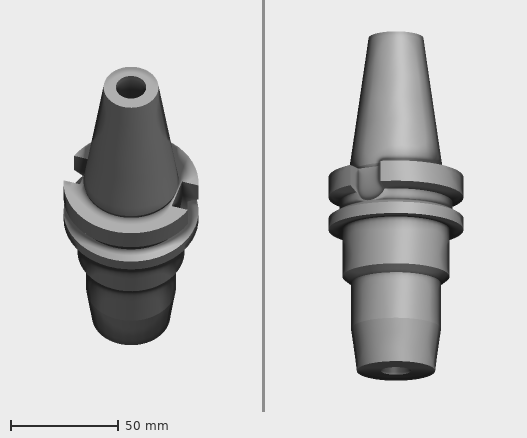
import cadquery as cq

total_height = 160.4
nose_taper_top_z = 20.2
shoulder_bottom_z = 42.2
shoulder_top_z = 45.4
flange_bottom_z = 68.0
lower_rim_top_z = 73.5
groove_bottom_z = 76.4
groove_top_z = 81.2
upper_rim_bottom_z = 83.5
flange_top_z = 93.4
gauge_z = 95.0

nose_tip_diameter = 36.5
nose_diameter = 42.0
body_diameter = 50.0
flange_diameter = 63.0
groove_diameter = 53.0
neck_diameter = 43.6
gauge_diameter = 44.5
shank_end_diameter = 25.7
bore_diameter = 14.1

slot_width = 16.0
slot_floor_x = 22.5
slot_bottom_z = groove_bottom_z


def make_turned_body():
    """Revolve the outer half-profile about the Z axis."""
    profile = [
        (0, 0),
        (nose_tip_diameter / 2, 0),
        (nose_diameter / 2, nose_taper_top_z),
        (nose_diameter / 2, shoulder_bottom_z),
        (body_diameter / 2, shoulder_top_z),
        (body_diameter / 2, flange_bottom_z),
        (flange_diameter / 2, flange_bottom_z),
        (flange_diameter / 2, lower_rim_top_z),
        (groove_diameter / 2, groove_bottom_z),
        (groove_diameter / 2, groove_top_z),
        (flange_diameter / 2, upper_rim_bottom_z),
        (flange_diameter / 2, flange_top_z),
        (neck_diameter / 2, flange_top_z),
        (gauge_diameter / 2, gauge_z),
        (shank_end_diameter / 2, total_height),
        (0, total_height),
    ]
    return cq.Workplane("XZ").polyline(profile).close().revolve(360, (0, 0), (0, 1))


def make_drive_slot(side):
    """Round-bottomed slot cutter, open outward and upward; side is +1 or -1 along X."""
    radius = slot_width / 2
    arc_center_z = slot_bottom_z + radius
    depth = flange_diameter / 2 - slot_floor_x
    return (
        cq.Workplane("YZ", origin=(side * slot_floor_x, 0, 0))
        .moveTo(-radius, flange_top_z)
        .lineTo(-radius, arc_center_z)
        .threePointArc((0, slot_bottom_z), (radius, arc_center_z))
        .lineTo(radius, flange_top_z)
        .close()
        .extrude(side * depth)
    )


def make_bore():
    """Straight bore running the full height."""
    return cq.Workplane("XY").circle(bore_diameter / 2).extrude(total_height)


result = make_turned_body().cut(make_bore())
for slot_side in (-1, 1):
    result = result.cut(make_drive_slot(slot_side))